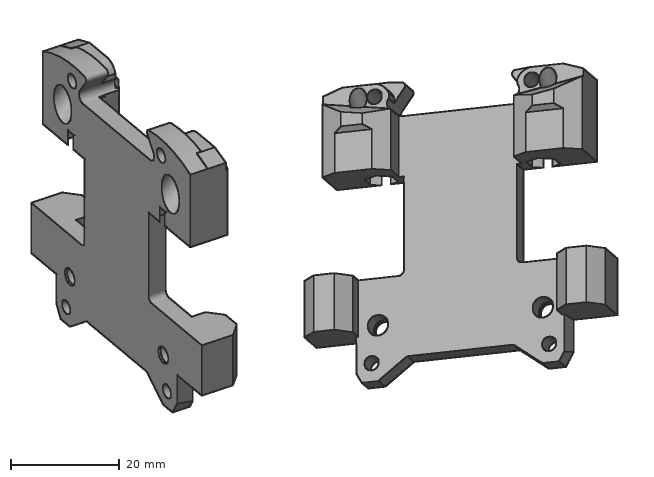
import cadquery as cq
import math


PLATE_THICKNESS = 3.8
NECK_HALF_WIDTH = 11.1
NECK_FILLET = 1.1
BOTTOM_EDGE_Z = 4.2
BOTTOM_EDGE_HALF_WIDTH = 10.45
TOP_Z = 57.51

ARM_HALF_SPAN = 59.1 / 2
ARM_BOTTOM_Z = 9.0
ARM_TOP_Z = 20.0
ARM_BLOCK_INNER_X = 20.05
ARM_BLOCK_HEIGHT = 9.4
ARM_BLOCK_CHAMFER_X = 2.75
ARM_BLOCK_CHAMFER_Y = 2.6

FOOT_OUTER_X = 20.95
FOOT_BACK_OUTER_X = 20.4
FOOT_BASE_INNER_X = 16.1
FOOT_BASE_OUTER_X = 19.4
FOOT_BEVEL_Z = 2.75

EAR_INNER_X = 12.05
EAR_OUTER_X = 25.55
EAR_BOTTOM_Z = 39.25
EAR_CORNER_Z = 55.1
EAR_ARC_RADIUS = 25.0
EAR_ARC_CENTER_X = 14.85
EAR_LIP_THICKNESS = 4.82
EAR_TIP_FILLET = 0.75

BLOCK_TOP_Z = 56.45
BLOCK_TOP_DEPTH = 7.82
BLOCK_TOP_INNER_X = 15.68
BLOCK_TOP_OUTER_X = 21.7
BLOCK_CORNER_RADIUS = 3.3
BLOCK_CORNER_END_X = 12.65
ROOF_EAVE_DEPTH = 8.2
ROOF_RIDGE_DEPTH = 11.0
ROOF_RIDGE_WIDTH = 4.2
ROOF_LOWER_DEPTH = 10.05
ROOF_STEP_BOTTOM_Z = 46.95
ROOF_STEP_TOP_Z = 47.85

ROOF_CUT_OUTER_Z = 53.5
ROOF_CUT_LEDGE_DEPTH = 8.15
ROOF_CUT_SLOPE = 35.5
ROOF_CUT_TILT = 9.5

SLOT_FLOOR_Z = 51.0
SLOT_FLOOR_HALF_WIDTH = 14.35
SLOT_FILLET = 1.4
SLOT_SIDE_RUN_PER_RISE = 0.73

EAR_HOLE_DIAMETER = 2.9
EAR_HOLE_CENTER = (15.42, 53.97)
FOOT_HOLE_DIAMETER = 2.8
FOOT_HOLE_CENTER = (17.45, 3.6)
INSERT_HOLE_DIAMETER = 4.0
INSERT_LIP_DIAMETER = 3.4
INSERT_LIP_THICKNESS = 0.5
INSERT_HOLE_CENTER = (16.2, 10.85)

SCREW_TILT = 40.0
SCREW_DIAMETER = 3.4
SCREW_HEAD_DIAMETER = 6.1
SCREW_HEAD_DEPTH = 3.7
SCREW_CENTER = (18.65, 47.2)
SCREW_EXIT_DIAMETER = 5.0
SCREW_EXIT_CENTER = (18.5, 54.3)

NUT_ACROSS_FLATS = 5.5
NUT_X = 15.9
NUT_POCKET_DEPTH = 3.2
NUT_FRONT_OPENING = 1.7

OVERSHOOT = 5.0


def extrude_back(outline, depth):
    """Extrude an XZ outline from the front face towards +Y."""
    return outline.extrude(-depth)


def front_sketch():
    return cq.Workplane("XZ")


def fillet_along_y(solid, x, z, radius):
    """Round the edge parallel to Y that is nearest to (x, z)."""
    nearest = cq.selectors.NearestToPointSelector((x, PLATE_THICKNESS / 2, z))
    return solid.edges("|Y").edges(nearest).fillet(radius)


def ear_arc_z(x):
    rise = math.sqrt(EAR_ARC_RADIUS**2 - (x - EAR_ARC_CENTER_X) ** 2)
    return TOP_Z - EAR_ARC_RADIUS + rise


def block_corner_z(x):
    rise = math.sqrt(BLOCK_CORNER_RADIUS**2 - (x - BLOCK_TOP_INNER_X) ** 2)
    return BLOCK_TOP_Z - BLOCK_CORNER_RADIUS + rise


def slot_side_x(z):
    return SLOT_FLOOR_HALF_WIDTH - (z - SLOT_FLOOR_Z) * SLOT_SIDE_RUN_PER_RISE


def make_slot():
    top_z = TOP_Z + OVERSHOOT
    outline = front_sketch().polyline([
        (0, SLOT_FLOOR_Z),
        (SLOT_FLOOR_HALF_WIDTH, SLOT_FLOOR_Z),
        (slot_side_x(top_z), top_z),
        (0, top_z),
    ]).close()
    slot = extrude_back(outline, ROOF_RIDGE_DEPTH)
    return fillet_along_y(slot, SLOT_FLOOR_HALF_WIDTH, SLOT_FLOOR_Z, SLOT_FILLET)


def make_plate():
    outline = front_sketch().polyline([
        (0, BOTTOM_EDGE_Z),
        (BOTTOM_EDGE_HALF_WIDTH, BOTTOM_EDGE_Z),
        (FOOT_BASE_INNER_X, 0),
        (FOOT_BASE_OUTER_X, 0),
        (FOOT_OUTER_X, FOOT_BEVEL_Z),
        (FOOT_OUTER_X, ARM_BOTTOM_Z),
        (ARM_HALF_SPAN, ARM_BOTTOM_Z),
        (ARM_HALF_SPAN, ARM_TOP_Z),
        (NECK_HALF_WIDTH, ARM_TOP_Z),
        (NECK_HALF_WIDTH, EAR_BOTTOM_Z),
        (EAR_OUTER_X, EAR_BOTTOM_Z),
        (EAR_OUTER_X, SLOT_FLOOR_Z),
        (0, SLOT_FLOOR_Z),
    ]).close()
    plate = extrude_back(outline, PLATE_THICKNESS)
    return fillet_along_y(plate, NECK_HALF_WIDTH, ARM_TOP_Z, NECK_FILLET)


def taper_foot(plate):
    """Slant the outer side of the foot inwards towards the back."""
    wedge = (
        cq.Workplane("XY")
        .polyline([
            (FOOT_OUTER_X, 0),
            (FOOT_OUTER_X, PLATE_THICKNESS),
            (FOOT_BACK_OUTER_X, PLATE_THICKNESS),
        ])
        .close()
        .extrude(ARM_BOTTOM_Z)
    )
    return plate.cut(wedge)


def make_arm_block():
    shoulder_y = ARM_BLOCK_HEIGHT - ARM_BLOCK_CHAMFER_Y
    return (
        cq.Workplane("XY", origin=(0, 0, ARM_BOTTOM_Z))
        .polyline([
            (ARM_BLOCK_INNER_X, 0),
            (ARM_HALF_SPAN, 0),
            (ARM_HALF_SPAN, shoulder_y),
            (ARM_HALF_SPAN - ARM_BLOCK_CHAMFER_X, ARM_BLOCK_HEIGHT),
            (ARM_BLOCK_INNER_X + ARM_BLOCK_CHAMFER_X, ARM_BLOCK_HEIGHT),
            (ARM_BLOCK_INNER_X, shoulder_y),
        ])
        .close()
        .extrude(ARM_TOP_Z - ARM_BOTTOM_Z)
    )


def make_ear_layer(outer_x, thickness):
    """Arc-topped ear above the slot floor, from the slot side out to outer_x."""
    inner_x = slot_side_x(TOP_Z + OVERSHOOT)
    middle_x = (inner_x + outer_x) / 2
    outline = (
        front_sketch()
        .moveTo(inner_x, SLOT_FLOOR_Z)
        .lineTo(outer_x, SLOT_FLOOR_Z)
        .lineTo(outer_x, ear_arc_z(outer_x))
        .threePointArc((middle_x, ear_arc_z(middle_x)), (inner_x, ear_arc_z(inner_x)))
        .close()
    )
    ear = extrude_back(outline, thickness).cut(make_slot())
    return fillet_along_y(ear, slot_side_x(TOP_Z), TOP_Z, EAR_TIP_FILLET)


def make_ear():
    front = make_ear_layer(EAR_OUTER_X, PLATE_THICKNESS)
    lip = make_ear_layer(BLOCK_TOP_OUTER_X, EAR_LIP_THICKNESS)
    return front.union(lip)


def make_roof_cut():
    """Space above the roof: a narrow ledge, then a slope down towards the ridge."""
    back_y = ROOF_RIDGE_DEPTH + OVERSHOOT
    top_z = TOP_Z + OVERSHOOT
    drop = (back_y - ROOF_CUT_LEDGE_DEPTH) * math.tan(math.radians(ROOF_CUT_SLOPE))
    pivot = (EAR_OUTER_X, 0, ROOF_CUT_OUTER_Z)
    pivot_end = (EAR_OUTER_X, 1, ROOF_CUT_OUTER_Z)
    return (
        cq.Workplane("YZ")
        .polyline([
            (BLOCK_TOP_DEPTH, ROOF_CUT_OUTER_Z),
            (ROOF_CUT_LEDGE_DEPTH, ROOF_CUT_OUTER_Z),
            (back_y, ROOF_CUT_OUTER_Z - drop),
            (back_y, top_z),
            (BLOCK_TOP_DEPTH, top_z),
        ])
        .close()
        .extrude(EAR_OUTER_X + OVERSHOOT)
        .rotate(pivot, pivot_end, -ROOF_CUT_TILT)
    )


def make_ear_block():
    """Intersection of the block's outlines along Y, X and Z, less the roof cut and the slot."""
    slot_fillet_z = SLOT_FLOOR_Z + SLOT_FILLET
    corner_middle_x = (BLOCK_TOP_INNER_X + BLOCK_CORNER_END_X) / 2
    front_outline = (
        front_sketch()
        .moveTo(EAR_INNER_X, EAR_BOTTOM_Z)
        .lineTo(EAR_OUTER_X, EAR_BOTTOM_Z)
        .lineTo(EAR_OUTER_X, EAR_CORNER_Z)
        .lineTo(BLOCK_TOP_OUTER_X, BLOCK_TOP_Z)
        .lineTo(BLOCK_TOP_INNER_X, BLOCK_TOP_Z)
        .threePointArc(
            (corner_middle_x, block_corner_z(corner_middle_x)),
            (BLOCK_CORNER_END_X, block_corner_z(BLOCK_CORNER_END_X)),
        )
        .lineTo(BLOCK_CORNER_END_X, slot_fillet_z)
        .lineTo(EAR_INNER_X, slot_fillet_z)
        .close()
    )
    front_prism = extrude_back(front_outline, ROOF_RIDGE_DEPTH)

    side_prism = (
        cq.Workplane("YZ")
        .polyline([
            (0, EAR_BOTTOM_Z),
            (ROOF_LOWER_DEPTH, EAR_BOTTOM_Z),
            (ROOF_LOWER_DEPTH, ROOF_STEP_BOTTOM_Z),
            (ROOF_RIDGE_DEPTH, ROOF_STEP_TOP_Z),
            (ROOF_RIDGE_DEPTH, BLOCK_TOP_Z),
            (0, BLOCK_TOP_Z),
        ])
        .close()
        .extrude(EAR_OUTER_X)
    )

    ridge_center_x = (EAR_INNER_X + EAR_OUTER_X) / 2
    roof_prism = (
        cq.Workplane("XY", origin=(0, 0, EAR_BOTTOM_Z))
        .polyline([
            (EAR_INNER_X, 0),
            (EAR_OUTER_X, 0),
            (EAR_OUTER_X, ROOF_EAVE_DEPTH),
            (ridge_center_x + ROOF_RIDGE_WIDTH / 2, ROOF_RIDGE_DEPTH),
            (ridge_center_x - ROOF_RIDGE_WIDTH / 2, ROOF_RIDGE_DEPTH),
            (EAR_INNER_X, ROOF_EAVE_DEPTH),
        ])
        .close()
        .extrude(BLOCK_TOP_Z - EAR_BOTTOM_Z)
    )
    block = front_prism.intersect(side_prism).intersect(roof_prism)
    return block.cut(make_roof_cut()).cut(make_slot())


def straight_hole(center, diameter, start_y=0.0):
    x, z = center
    sketch = cq.Workplane("XZ", origin=(x, start_y, z))
    return extrude_back(sketch.circle(diameter / 2), ROOF_RIDGE_DEPTH)


def insert_hole():
    """Hole from the back that leaves a thin lip with a smaller hole at the front."""
    lip = straight_hole(INSERT_HOLE_CENTER, INSERT_LIP_DIAMETER)
    bore = straight_hole(INSERT_HOLE_CENTER, INSERT_HOLE_DIAMETER, INSERT_LIP_THICKNESS)
    return lip.union(bore)


def screw_hole():
    x, z = SCREW_CENTER
    tilt = math.radians(SCREW_TILT)
    axis = cq.Vector(0, math.cos(tilt), math.sin(tilt))
    entry = cq.Vector(x, 0, z)
    start = entry - axis * OVERSHOOT
    head_length = OVERSHOOT + SCREW_HEAD_DEPTH
    shank_length = OVERSHOOT + 2 * ROOF_RIDGE_DEPTH
    head = cq.Solid.makeCylinder(SCREW_HEAD_DIAMETER / 2, head_length, start, axis)
    shank = cq.Solid.makeCylinder(SCREW_DIAMETER / 2, shank_length, start, axis)
    return cq.Workplane(head).union(cq.Workplane(shank))


def nut_pocket():
    """Hexagon with one corner pointing forwards, cut short by the front face."""
    corner_radius = NUT_ACROSS_FLATS / math.sqrt(3)
    corner_overhang = NUT_FRONT_OPENING / 2 * math.tan(math.radians(30))
    center_y = corner_radius - corner_overhang
    return (
        cq.Workplane("XY", origin=(NUT_X, center_y, EAR_BOTTOM_Z))
        .transformed(rotate=(0, 0, 90))
        .polygon(6, 2 * corner_radius)
        .extrude(NUT_POCKET_DEPTH)
    )


def make_half():
    half = taper_foot(make_plate())
    for addition in (make_arm_block(), make_ear(), make_ear_block()):
        half = half.union(addition)
    cutters = (
        straight_hole(EAR_HOLE_CENTER, EAR_HOLE_DIAMETER),
        straight_hole(FOOT_HOLE_CENTER, FOOT_HOLE_DIAMETER),
        insert_hole(),
        straight_hole(SCREW_EXIT_CENTER, SCREW_EXIT_DIAMETER, BLOCK_TOP_DEPTH),
        screw_hole(),
        nut_pocket(),
    )
    for cutter in cutters:
        half = half.cut(cutter)
    return half


right_half = make_half()
result = right_half.union(right_half.mirror("YZ")).clean()